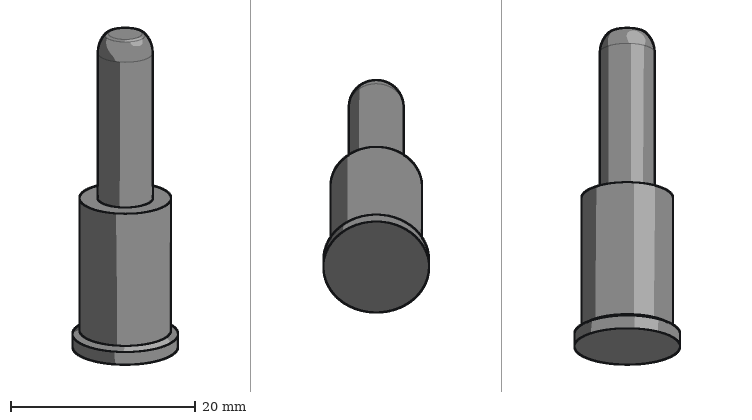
import cadquery as cq
import math

total_height = 36.2
flange_rim_height = 1.5
flange_height = 1.92
body_top = 17.2

flange_radius = 5.75
body_radius = 5.0
pin_radius = 3.0

tip_length = 2.2
tip_fillet_radius = 0.5
tip_base = total_height - tip_length
tip_flat_radius = math.sqrt(pin_radius**2 - tip_length**2)

profile = (
    cq.Workplane("XZ")
    .lineTo(flange_radius, 0)
    .lineTo(flange_radius, flange_rim_height)
    .lineTo(body_radius, flange_height)
    .lineTo(body_radius, body_top)
    .lineTo(pin_radius, body_top)
    .lineTo(pin_radius, tip_base)
    .radiusArc((tip_flat_radius, total_height), -pin_radius)
    .lineTo(0, total_height)
    .close()
)

pin = profile.revolve(360, (0, 0, 0), (0, 1, 0))
result = pin.faces(">Z").edges().fillet(tip_fillet_radius)